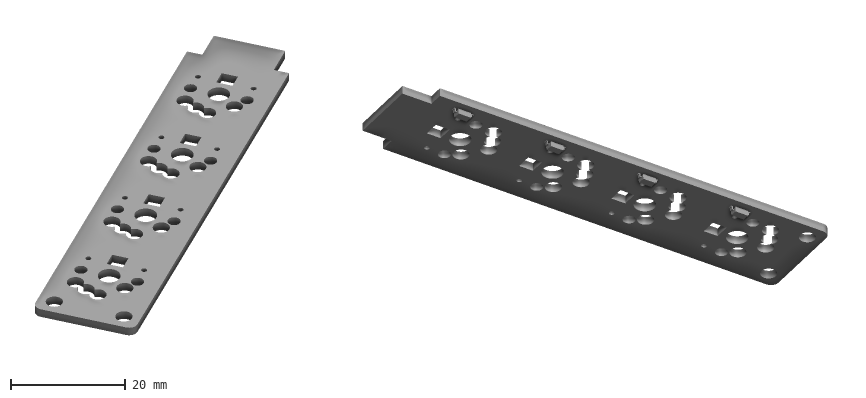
import cadquery as cq

BOARD_LENGTH = 86.4
BOARD_WIDTH = 19.0
BOARD_THICKNESS = 1.6
TAB_WIDTH = 13.3
TAB_LENGTH = 6.0
CORNER_RADIUS = 1.55
BOARD_END_Y = -BOARD_LENGTH / 2
TAB_END_Y = BOARD_LENGTH / 2
SHOULDER_Y = TAB_END_Y - TAB_LENGTH

MOUNT_DIAMETER = 3.0
MOUNT_SPACING = 13.0
MOUNT_END_DISTANCE = 2.9

KEY_COUNT = 4
KEY_PITCH = 19.0
FIRST_KEY_END_DISTANCE = 13.4
KEY_CENTERS_Y = [BOARD_END_Y + FIRST_KEY_END_DISTANCE + i * KEY_PITCH for i in range(KEY_COUNT)]

STEM_DIAMETER = 4.0
PEG_DIAMETER = 2.3
PEG_X = 5.3
LOCATOR_DIAMETER = 1.0
LOCATOR_X = 5.2
LOCATOR_Y = 3.6
CONTACT_DIAMETER = 3.0
CONTACT_POINTS = [(-4.9, -3.8), (-2.5, -5.1), (0, -5.9), (3.8, -2.5)]
WINDOW_WIDTH = 3.0
WINDOW_HEIGHT = 2.85
WINDOW_X = -0.1
WINDOW_Y = 4.6

DIODE_HEIGHT = 1.2
DIODE_X = -7.4
DIODE_KEY_OFFSET_Y = 4.1
CASE_LENGTH = 2.7
CASE_WIDTH = 1.55
CASE_INSET = 0.1
CASE_CLEARANCE = 0.2
LEAD_SPAN = 4.0
LEAD_LEG_SPAN = 3.55
LEAD_WIDTH = 0.6
LEAD_THICKNESS = 0.2
BAND_TOP_Z = -0.5
BAND_BOTTOM_Z = BAND_TOP_Z - LEAD_THICKNESS


def cut_round_holes(board, points, diameter):
    cutter = cq.Workplane("XY").pushPoints(points).circle(diameter / 2).extrude(BOARD_THICKNESS)
    return board.cut(cutter)


def cut_key_openings(board, key_y):
    board = cut_round_holes(board, [(0, key_y)], STEM_DIAMETER)
    board = cut_round_holes(board, [(-PEG_X, key_y), (PEG_X, key_y)], PEG_DIAMETER)
    locators = [(side * LOCATOR_X, key_y + LOCATOR_Y) for side in (-1, 1)]
    board = cut_round_holes(board, locators, LOCATOR_DIAMETER)
    for x, y in CONTACT_POINTS:
        board = cut_round_holes(board, [(x, key_y + y)], CONTACT_DIAMETER)
    window = (
        cq.Workplane("XY")
        .center(WINDOW_X, key_y + WINDOW_Y)
        .rect(WINDOW_WIDTH, WINDOW_HEIGHT)
        .extrude(BOARD_THICKNESS)
    )
    return board.cut(window)


def make_board():
    main_length = BOARD_LENGTH - TAB_LENGTH
    main = (
        cq.Workplane("XY")
        .center(0, BOARD_END_Y + main_length / 2)
        .rect(BOARD_WIDTH, main_length)
        .extrude(BOARD_THICKNESS)
        .edges("|Z and <Y")
        .fillet(CORNER_RADIUS)
    )
    tab = (
        cq.Workplane("XY")
        .center(0, SHOULDER_Y + TAB_LENGTH / 2)
        .rect(TAB_WIDTH, TAB_LENGTH)
        .extrude(BOARD_THICKNESS)
    )
    board = main.union(tab)
    mount_y = BOARD_END_Y + MOUNT_END_DISTANCE
    board = cut_round_holes(board, [(side * MOUNT_SPACING / 2, mount_y) for side in (-1, 1)], MOUNT_DIAMETER)
    for key_y in KEY_CENTERS_Y:
        board = cut_key_openings(board, key_y)
    return board


def make_case_taper(band_z, end_z):
    """Part of the case that narrows from its middle band to one end face."""
    return (
        cq.Workplane("XY", origin=(0, 0, band_z))
        .rect(CASE_WIDTH, CASE_LENGTH)
        .workplane(offset=end_z - band_z)
        .rect(CASE_WIDTH - 2 * CASE_INSET, CASE_LENGTH - 2 * CASE_INSET)
        .loft(ruled=True)
    )


def make_case():
    band = (
        cq.Workplane("XY", origin=(0, 0, BAND_BOTTOM_Z))
        .rect(CASE_WIDTH, CASE_LENGTH)
        .extrude(LEAD_THICKNESS)
    )
    upper = make_case_taper(BAND_TOP_Z, -CASE_CLEARANCE)
    lower = make_case_taper(BAND_BOTTOM_Z, -DIODE_HEIGHT)
    return band.union(upper).union(lower)


def make_lead():
    """Lead at the +Y end: a foot flat on the board, a leg down and a straight run into the case."""
    foot_y = LEAD_SPAN / 2
    leg_y = LEAD_LEG_SPAN / 2
    inner_leg_y = leg_y - LEAD_THICKNESS
    profile = [
        (foot_y, 0),
        (foot_y, -LEAD_THICKNESS),
        (leg_y, -LEAD_THICKNESS),
        (leg_y, BAND_BOTTOM_Z),
        (0, BAND_BOTTOM_Z),
        (0, BAND_TOP_Z),
        (inner_leg_y, BAND_TOP_Z),
        (inner_leg_y, 0),
    ]
    return cq.Workplane("YZ").polyline(profile).close().extrude(LEAD_WIDTH / 2, both=True)


def make_diode(center_y):
    """Diode soldered to the board underside, which lies at Z = 0."""
    lead = make_lead()
    diode = make_case().union(lead).union(lead.mirror("XZ"))
    return diode.translate((DIODE_X, center_y, 0))


board = make_board()
diodes = [make_diode(key_y + DIODE_KEY_OFFSET_Y) for key_y in KEY_CENTERS_Y]

result = cq.Compound.makeCompound([board.val(), *[diode.val() for diode in diodes]])